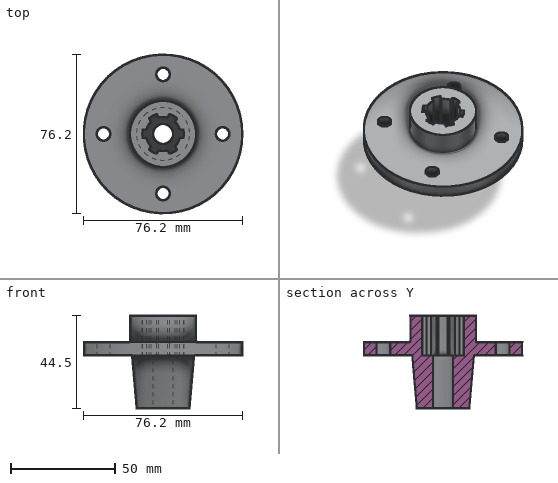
import cadquery as cq
import math

flange_diameter = 76.2
flange_thickness = 6.35

boss_diameter = 31.75
boss_height = 12.7

hub_length = 25.4
hub_tip_diameter = 25.4
hub_draft_angle = 5.0
hub_root_diameter = hub_tip_diameter + 2 * hub_length * math.tan(math.radians(hub_draft_angle))

root_fillet = 0.508

mount_hole_diameter = 6.35
mount_hole_count = 4
bolt_circle_diameter = 57.15

spline_minor_diameter = 16.4
spline_major_diameter = 20.0
spline_slot_width = 4.1
spline_slot_count = 6
spline_depth = boss_height + flange_thickness
bore_diameter = 9.525

top_z = flange_thickness + boss_height
total_height = top_z + hub_length


def make_body():
    """Revolve the flange, boss and tapered hub as one half profile in XZ."""
    boss_radius = boss_diameter / 2
    flange_radius = flange_diameter / 2
    hub_tip_radius = hub_tip_diameter / 2
    hub_root_radius = hub_root_diameter / 2
    return (
        cq.Workplane("XZ")
        .moveTo(0, -hub_length)
        .lineTo(hub_tip_radius, -hub_length)
        .lineTo(hub_root_radius, 0)
        .lineTo(flange_radius, 0)
        .lineTo(flange_radius, flange_thickness)
        .lineTo(boss_radius, flange_thickness)
        .lineTo(boss_radius, top_z)
        .lineTo(0, top_z)
        .close()
        .revolve(360, (0, 0, 0), (0, 1, 0))
    )


def fillet_roots(body):
    """Round the inside corners where the boss and the hub leave the flange."""
    for corner_z, corner_diameter in ((flange_thickness, boss_diameter), (0, hub_root_diameter)):
        reach = corner_diameter / 2 + root_fillet
        corner = cq.selectors.BoxSelector(
            (-reach, -reach, corner_z - root_fillet),
            (reach, reach, corner_z + root_fillet),
            boundingbox=True,
        )
        body = body.edges(corner).fillet(root_fillet)
    return body


def make_mount_holes():
    """Cylinders through the flange, evenly spaced on the bolt circle."""
    return (
        cq.Workplane("XY")
        .polarArray(bolt_circle_diameter / 2, 0, 360, mount_hole_count)
        .circle(mount_hole_diameter / 2)
        .extrude(flange_thickness)
    )


def make_spline_socket():
    """Round socket with straight-sided slots that end on the major diameter."""
    floor = cq.Workplane("XY").workplane(offset=top_z - spline_depth)
    socket = floor.circle(spline_minor_diameter / 2).extrude(spline_depth)
    slots_across = spline_slot_count // 2
    for index in range(slots_across):
        bar = floor.rect(2 * spline_major_diameter, spline_slot_width).extrude(spline_depth)
        bar = bar.intersect(floor.circle(spline_major_diameter / 2).extrude(spline_depth))
        angle = index * 360 / spline_slot_count
        socket = socket.union(bar.rotate((0, 0, 0), (0, 0, 1), angle))
    return socket


def make_bore():
    """Plain bore along the whole axis."""
    return cq.Workplane("XY").workplane(offset=-hub_length).circle(bore_diameter / 2).extrude(total_height)


result = fillet_roots(make_body()).cut(make_mount_holes()).cut(make_spline_socket()).cut(make_bore())